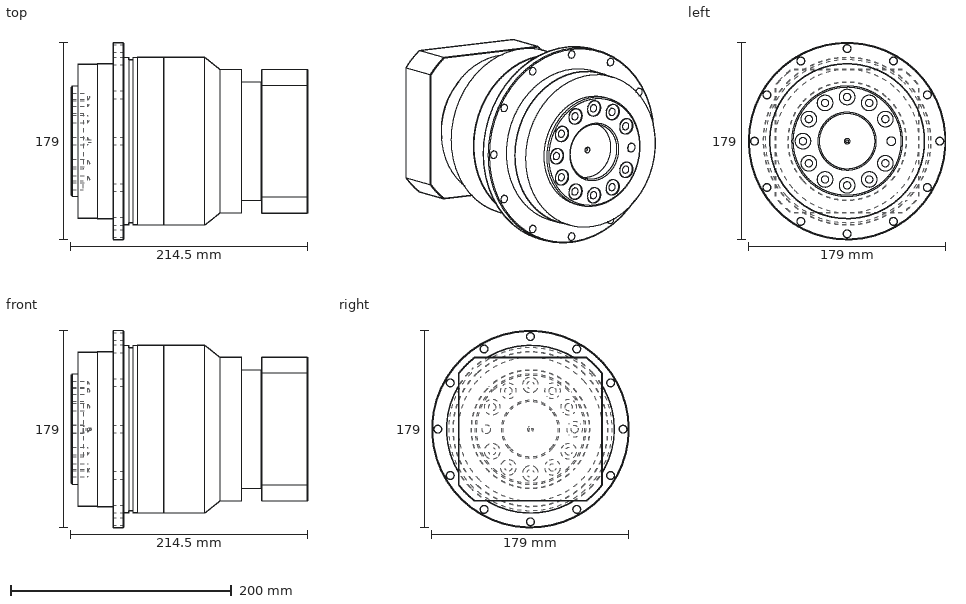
import cadquery as cq
import math


hub_radius = 50.2
hub_chamfer = 1.3
bore_radius = 25.0
bore_chamfer = 1.3
bore_depth = 11.4
center_hole_radius = 1.3
center_mouth_radius = 2.5
center_mouth_angle = 60
center_hole_depth = 6.5
drill_tip_angle = 118
bolt_circle_radius = 40.0
bolt_position_count = 12
dowel_index = 6
screw_hole_radius = 3.32
screw_hole_depth = 15.0
counterbore_radius = 7.0
counterbore_depth = 1.3
dowel_hole_radius = 3.97
dowel_hole_depth = 10.7

pilot_x = 6.2
pilot_radius = 70.0
collar_x = 23.8
collar_radius = 70.4
flange_x = 37.8
flange_end_x = 47.8
flange_radius = 89.5
flange_chamfer = 0.9
flange_hole_circle_radius = 83.9
flange_hole_count = 12
flange_hole_radius = 3.5
seat_radius = 76.0
seat_end_x = 60.3
groove_x = 52.3
groove_end_x = 56.0
groove_radius = 74.0
body_radius = 76.1
joint_x = 83.7

joint_chamfer = 0.5
cone_x = 121.0
cone_end_x = 134.7
rear_radius = 65.2
rear_end_x = 154.5
neck_radius = 53.8

adapter_x = 172.5
adapter_end_x = 214.5
adapter_width = 130.5
adapter_corner_radius = 82.5
adapter_chamfer = 0.6


def disc(start_x, end_x, radius):
    """Cylinder about the X axis."""
    return cq.Workplane("YZ").workplane(offset=start_x).circle(radius).extrude(end_x - start_x)


def revolve_about_x(points):
    """Revolve an (x, radius) outline about the X axis."""
    return cq.Workplane("XY").polyline(points).close().revolve(360, (0, 0, 0), (1, 0, 0))


def ring_points(radius, count):
    """(y, z) places equally spaced on a circle, starting at +Y."""
    step = 2 * math.pi / count
    return [(radius * math.cos(i * step), radius * math.sin(i * step)) for i in range(count)]


def cone_length(radius_change, included_angle):
    """Axial length of a cone with the given included angle in degrees."""
    return radius_change / math.tan(math.radians(included_angle / 2))


def make_output_blank():
    """Turned outline of hub, pilot, flange and ring-grooved housing."""
    return revolve_about_x([
        (0, 0),
        (0, hub_radius - hub_chamfer),
        (hub_chamfer, hub_radius),
        (pilot_x, hub_radius),
        (pilot_x, pilot_radius),
        (collar_x, pilot_radius),
        (collar_x, collar_radius),
        (flange_x, collar_radius),
        (flange_x, flange_radius - flange_chamfer),
        (flange_x + flange_chamfer, flange_radius),
        (flange_end_x - flange_chamfer, flange_radius),
        (flange_end_x, flange_radius - flange_chamfer),
        (flange_end_x, seat_radius),
        (groove_x, seat_radius),
        (groove_x, groove_radius),
        (groove_end_x, groove_radius),
        (groove_end_x, seat_radius),
        (seat_end_x, seat_radius),
        (seat_end_x, body_radius),
        (joint_x, body_radius),
        (joint_x, 0),
    ])


def make_bore():
    """Chamfered blind bore with a center hole in its floor."""
    mouth_length = cone_length(center_mouth_radius - center_hole_radius, center_mouth_angle)
    center_end_x = bore_depth + center_hole_depth
    return revolve_about_x([
        (0, 0),
        (0, bore_radius + bore_chamfer),
        (bore_chamfer, bore_radius),
        (bore_depth, bore_radius),
        (bore_depth, center_mouth_radius),
        (bore_depth + mouth_length, center_hole_radius),
        (center_end_x, center_hole_radius),
        (center_end_x + cone_length(center_hole_radius, drill_tip_angle), 0),
    ])


def make_screw_hole():
    """Shallow counterbore over a drilled hole with a conical tip."""
    return revolve_about_x([
        (0, 0),
        (0, counterbore_radius),
        (counterbore_depth, counterbore_radius),
        (counterbore_depth, screw_hole_radius),
        (screw_hole_depth, screw_hole_radius),
        (screw_hole_depth + cone_length(screw_hole_radius, drill_tip_angle), 0),
    ])


def make_output_section():
    section = make_output_blank().cut(make_bore())

    screw_hole = make_screw_hole()
    dowel_hole = disc(0, dowel_hole_depth, dowel_hole_radius)
    for i, (y, z) in enumerate(ring_points(bolt_circle_radius, bolt_position_count)):
        hole = dowel_hole if i == dowel_index else screw_hole
        section = section.cut(hole.translate((0, y, z)))

    flange_hole = disc(flange_x, flange_end_x, flange_hole_radius)
    for y, z in ring_points(flange_hole_circle_radius, flange_hole_count):
        section = section.cut(flange_hole.translate((0, y, z)))
    return section


def make_input_section():
    """Turned body tapering to a neck, with a small chamfer at each joint."""
    return revolve_about_x([
        (joint_x, 0),
        (joint_x, body_radius - joint_chamfer),
        (joint_x + joint_chamfer, body_radius),
        (cone_x, body_radius),
        (cone_end_x, rear_radius),
        (rear_end_x, rear_radius),
        (rear_end_x, neck_radius),
        (adapter_x - joint_chamfer, neck_radius),
        (adapter_x, neck_radius - joint_chamfer),
        (adapter_x, 0),
    ])


def make_motor_adapter():
    """Square plate with its corners turned round and its face edges chamfered."""
    square = (
        cq.Workplane("YZ")
        .workplane(offset=adapter_x)
        .rect(adapter_width, adapter_width)
        .extrude(adapter_end_x - adapter_x)
    )
    plate = square.intersect(disc(adapter_x, adapter_end_x, adapter_corner_radius))
    return plate.faces("<X or >X").chamfer(adapter_chamfer)


output_section = make_output_section()
input_section = make_input_section()
motor_adapter = make_motor_adapter()
result = cq.Compound.makeCompound([output_section.val(), input_section.val(), motor_adapter.val()])